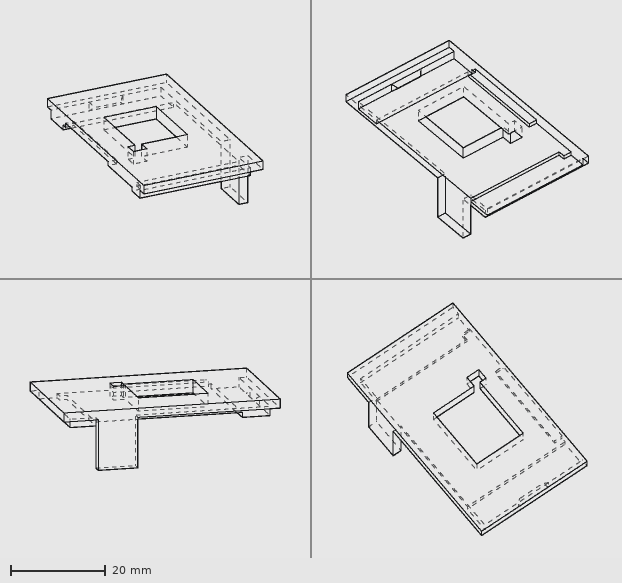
import cadquery as cq

length = 47.45
width = 28.0
height = 13.05
plate_depth = 2.0

layer_depth = 2.95
layer_left = 1.65
layer_right = 45.5
leg_thickness = 2.1
layer_back = width - leg_thickness

left_rail_right = 7.8
left_rail_depth = 4.05
right_rail_left = 39.9
right_rail_front_left = 41.5
right_rail_depth = 3.85

leg_left = 31.2
leg_right = right_rail_left

recess_left = 8.85
recess_right = 29.75
recess_reach = 2.0

window_left = 13.5
window_right = 28.8
window_front = 6.85
window_back = 19.1
notch_right = 31.35
notch_front = 5.2
notch_back = 8.35

pocket_front = 8.95
pocket_back = 16.95
pocket_height = left_rail_depth - plate_depth
pocket_reach = pocket_height / 2
ridge_depth = plate_depth + pocket_height / 2


def block(left, right, front, back, top_depth, bottom_depth):
    """Box between two X, two Y and two depths below the top face."""
    size = (right - left, back - front, bottom_depth - top_depth)
    return cq.Workplane("XY").box(*size, centered=False).translate((left, front, -bottom_depth))


def catch_pocket():
    """Wedge narrowing at 45 degrees to a ridge, with sloped ends."""
    profile = [
        (layer_left, -plate_depth),
        (layer_left, -left_rail_depth),
        (layer_left + pocket_reach, -ridge_depth),
    ]
    wedge = cq.Workplane("XZ", origin=(0, pocket_front, 0)).polyline(profile).close()
    wedge = wedge.extrude(pocket_front - pocket_back)
    plan = [
        (layer_left, pocket_front),
        (layer_left + pocket_reach, pocket_front + pocket_reach),
        (layer_left + pocket_reach, pocket_back - pocket_reach),
        (layer_left, pocket_back),
    ]
    end_limits = cq.Workplane("XY").polyline(plan).close().extrude(-height)
    return wedge.intersect(end_limits)


plate = block(0, length, 0, width, 0, plate_depth)
layer = block(layer_left, layer_right, 0, layer_back, 0, layer_depth)
left_rail = block(layer_left, left_rail_right, 0, layer_back, 0, left_rail_depth)
right_rail = block(right_rail_left, layer_right, 0, layer_back, 0, right_rail_depth)
leg = block(leg_left, leg_right, layer_back, width, 0, height)

recess = block(recess_left, recess_right, 0, recess_reach, plate_depth, layer_depth)
rail_relief = block(right_rail_left, right_rail_front_left, 0, recess_reach, layer_depth, right_rail_depth)
window = block(window_left, window_right, window_front, window_back, 0, layer_depth)
notch = block(window_right, notch_right, notch_front, notch_back, 0, layer_depth)

result = plate
for addition in (layer, left_rail, right_rail, leg):
    result = result.union(addition)
for removal in (recess, rail_relief, window, notch, catch_pocket()):
    result = result.cut(removal)